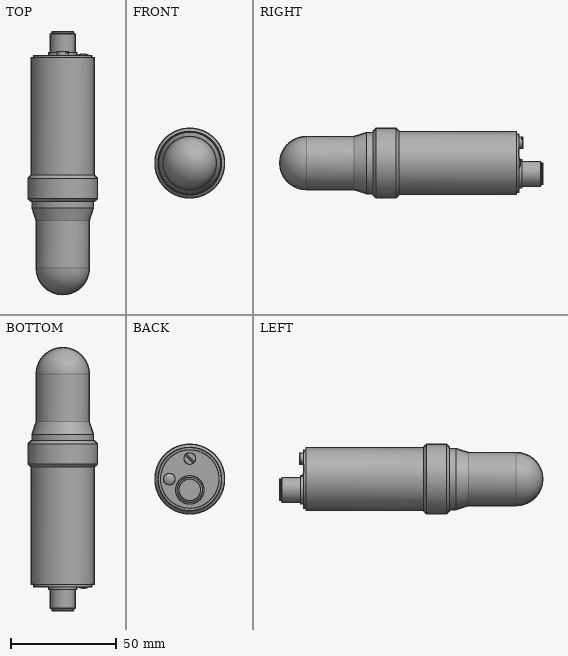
import cadquery as cq
import math

length = 125.2
tip_diameter = 25.4
neck_cone_start = 35.3
neck_cone_end = 41.3
collar_start = 44.3
collar_end = 56.8
body_end = 112.7
end_face = 113.8

neck_diameter = 29.3
collar_diameter = 33.3
collar_chamfer = 1.5
body_diameter = 30.0
end_step_diameter = 27.8

connector_z = -5.1
connector_diameter = 12.0
connector_tip_diameter = 10.3
connector_tip_length = 0.8
connector_chamfer_length = 0.5
flange_diameter = 13.5
flange_height = 1.4

fitting_diameter = 5.5
fitting_offset = 9.8
screw_height = 1.9
slot_width = 0.8
slot_depth = 0.8
slot_angle = 45.0
lamp_height = 0.8


def revolve_about_y(outline):
    return outline.close().revolve(360, (0, 0, 0), (0, 1, 0))


def make_body():
    """Domed tip, tapered neck, collar and barrel turned about the Y axis."""
    tip_radius = tip_diameter / 2
    neck_radius = neck_diameter / 2
    collar_radius = collar_diameter / 2
    chamfer_radius = collar_radius - collar_chamfer
    body_radius = body_diameter / 2
    end_step_radius = end_step_diameter / 2
    dome_mid = tip_radius * math.sqrt(0.5)
    outline = (
        cq.Workplane("XY")
        .moveTo(0, 0)
        .threePointArc((dome_mid, tip_radius - dome_mid), (tip_radius, tip_radius))
        .lineTo(tip_radius, neck_cone_start)
        .lineTo(neck_radius, neck_cone_end)
        .lineTo(neck_radius, collar_start)
        .lineTo(chamfer_radius, collar_start)
        .lineTo(collar_radius, collar_start + collar_chamfer)
        .lineTo(collar_radius, collar_end - collar_chamfer)
        .lineTo(chamfer_radius, collar_end)
        .lineTo(body_radius, collar_end)
        .lineTo(body_radius, body_end)
        .lineTo(end_step_radius, body_end)
        .lineTo(end_step_radius, end_face)
        .lineTo(0, end_face)
    )
    return revolve_about_y(outline)


def make_connector():
    """Flanged round plug with a reduced, chamfered tip."""
    flange_radius = flange_diameter / 2
    plug_radius = connector_diameter / 2
    tip_radius = connector_tip_diameter / 2
    flange_top = end_face + flange_height
    chamfer_end = length - connector_tip_length
    chamfer_start = chamfer_end - connector_chamfer_length
    outline = (
        cq.Workplane("XY")
        .moveTo(0, body_end)
        .lineTo(flange_radius, body_end)
        .lineTo(flange_radius, flange_top)
        .lineTo(plug_radius, flange_top)
        .lineTo(plug_radius, chamfer_start)
        .lineTo(tip_radius, chamfer_end)
        .lineTo(tip_radius, length)
        .lineTo(0, length)
    )
    return revolve_about_y(outline).translate((0, 0, connector_z))


def make_screw():
    """Cylindrical screw head with a diagonal driver slot."""
    screw_top = end_face + screw_height
    head = (
        cq.Workplane("XZ", origin=(0, screw_top, 0))
        .circle(fitting_diameter / 2)
        .extrude(screw_top - body_end)
    )
    slot_length = 2 * fitting_diameter
    slot = (
        cq.Workplane("XZ", origin=(0, screw_top, 0))
        .transformed(rotate=(0, 0, slot_angle))
        .rect(slot_length, slot_width)
        .extrude(slot_depth)
    )
    return head.cut(slot).translate((0, 0, fitting_offset))


def make_lamp():
    """Shallow spherical cap seated on the end face."""
    lamp_radius = fitting_diameter / 2
    lamp_top = end_face + lamp_height
    sphere_radius = (lamp_radius**2 + lamp_height**2) / (2 * lamp_height)
    half_angle = math.asin(lamp_radius / sphere_radius) / 2
    arc_mid = (
        sphere_radius * math.sin(half_angle),
        lamp_top - sphere_radius * (1 - math.cos(half_angle)),
    )
    outline = (
        cq.Workplane("XY")
        .moveTo(0, body_end)
        .lineTo(lamp_radius, body_end)
        .lineTo(lamp_radius, end_face)
        .threePointArc(arc_mid, (0, lamp_top))
    )
    return revolve_about_y(outline).translate((fitting_offset, 0, 0))


part = make_body().union(make_connector()).union(make_screw()).union(make_lamp())

result = part.translate((0, -length / 2, 0))